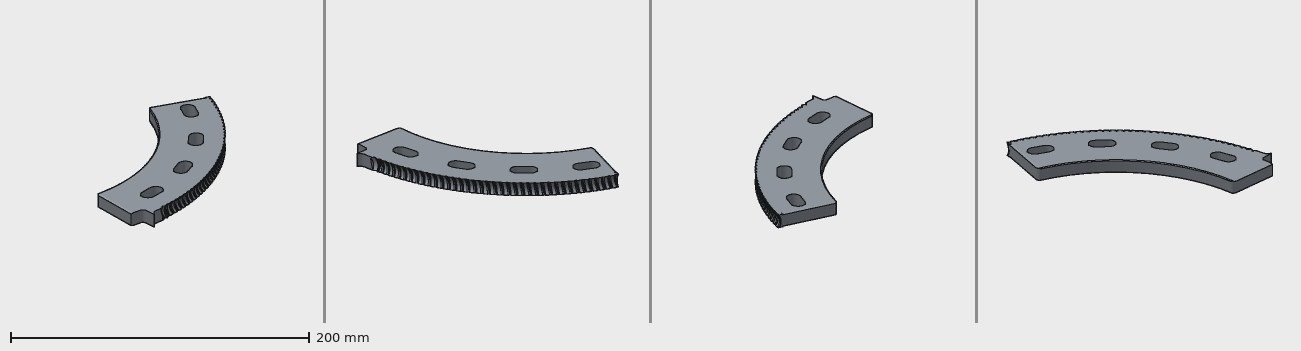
import cadquery as cq
import math

thickness = 9.5
inner_radius = 112.4
sector_angle = 72.2
corner_radius = 3.3
mid_height = thickness / 2

rim_radius = 157.7
lug_tip_radius = 160.7
lug_angle = 4.0
lug_tip_land_angle = 0.2
lug_flare_radius = 4.5
notch_x = 150.0
notch_corner_radius = 2.5

end_break_width = 1.6
end_break_height = 0.5
end_break_outer_radius = 153.4
inner_break_width = 0.7
inner_break_height = 0.6

slot_count = 4
slot_pitch_angle = 17.7
first_slot_angle = 12.9
slot_circle_radius = 137.4
slot_length = 18.5
slot_width = 10.0

tooth_edge_radius = 157.0
worm_radius = 6.3
tooth_pitch_angle = 1.7
tooth_depth = 0.5
gap_flank_height = 1.5
gap_root_width = 0.6
gap_flank_angle = 60.0
worm_lead_angle = 13.6
toothed_start_angle = 9.8
first_gap_angle = 8.9
worm_axis_radius = tooth_edge_radius + math.sqrt(worm_radius**2 - mid_height**2)

overrun = 3.0
overrun_angle = 2.0


def polar(radius, angle):
    """Point at a radius and an angle in degrees about the sector centre."""
    turn = math.radians(angle)
    return (radius * math.cos(turn), radius * math.sin(turn))


def mirror_to_bottom(cutter):
    """Copy of a cutter reflected in the middle plane of the plate."""
    return cutter.mirror("XY", (0, 0, mid_height))


def round_corner(plate, corner, radius):
    """Fillet the upright edge at a corner."""
    return plate.edges("|Z").edges(cq.selectors.NearestToPointSelector(corner)).fillet(radius)


def make_plate():
    """Sector with a plain rim, a hooked stop lug and a notch below the lug."""
    flare_end_angle = lug_angle + lug_tip_land_angle
    flare_end = polar(lug_tip_radius, flare_end_angle)
    flare_centre_radius = rim_radius + lug_flare_radius
    flare_span = math.acos(
        (flare_centre_radius**2 + lug_tip_radius**2 - lug_flare_radius**2)
        / (2 * flare_centre_radius * lug_tip_radius)
    )
    flare_start_angle = flare_end_angle + math.degrees(flare_span)
    flare_centre = polar(flare_centre_radius, flare_start_angle)
    flare_start = polar(rim_radius, flare_start_angle)
    end_direction = math.degrees(math.atan2(flare_end[1] - flare_centre[1], flare_end[0] - flare_centre[0]))
    middle_direction = (flare_start_angle + 180 + end_direction % 360) / 2
    flare_offset = polar(lug_flare_radius, middle_direction)
    flare_middle = (flare_centre[0] + flare_offset[0], flare_centre[1] + flare_offset[1])

    notch_top = notch_x * math.tan(math.radians(lug_angle))
    plate = (
        cq.Workplane("XY")
        .moveTo(inner_radius, 0)
        .lineTo(notch_x, 0)
        .lineTo(notch_x, notch_top)
        .lineTo(*polar(lug_tip_radius, lug_angle))
        .lineTo(*flare_end)
        .threePointArc(flare_middle, flare_start)
        .threePointArc(polar(rim_radius, sector_angle / 2), polar(rim_radius, sector_angle))
        .lineTo(*polar(inner_radius, sector_angle))
        .threePointArc(polar(inner_radius, sector_angle / 2), (inner_radius, 0))
        .close()
        .extrude(thickness)
    )
    for angle in (0, sector_angle):
        corner = polar(inner_radius, angle) + (mid_height,)
        plate = round_corner(plate, corner, corner_radius)
    notch_corner = (notch_x, notch_top, mid_height)
    return round_corner(plate, notch_corner, notch_corner_radius)


def make_end_breaks():
    """Wedges that bevel both faces along the first end face, stopping short of the teeth."""
    top_wedge = (
        cq.Workplane("YZ")
        .polyline([(0, thickness - end_break_height), (end_break_width, thickness), (0, thickness)])
        .close()
        .extrude(end_break_outer_radius)
    )
    return top_wedge.union(mirror_to_bottom(top_wedge))


def make_inner_break():
    """Rings that bevel both faces along the inner arc."""
    top_ring = (
        cq.Workplane("XZ")
        .polyline(
            [
                (inner_radius, thickness - inner_break_height),
                (inner_radius + inner_break_width, thickness),
                (inner_radius, thickness),
            ]
        )
        .close()
        .revolve(360, (0, 0), (0, 1))
    )
    return top_ring.union(mirror_to_bottom(top_ring))


def make_slots():
    """Slots lying along the slot circle."""
    slot = (
        cq.Workplane("XY")
        .center(slot_circle_radius, 0)
        .slot2D(slot_length, slot_width, 90)
        .extrude(thickness)
    )
    slots = cq.Workplane("XY")
    for index in range(slot_count):
        slots = slots.add(slot.rotate((0, 0, 0), (0, 0, 1), first_slot_angle + index * slot_pitch_angle))
    return slots.combine()


def make_throat():
    """Ring segment with a round inner side that hollows the toothed rim."""
    outside = lug_tip_radius + overrun
    return (
        cq.Workplane("XZ")
        .moveTo(tooth_edge_radius, 0)
        .threePointArc((worm_axis_radius - worm_radius, mid_height), (tooth_edge_radius, thickness))
        .lineTo(outside, thickness)
        .lineTo(outside, 0)
        .close()
        .revolve(sector_angle + overrun_angle - toothed_start_angle, (0, 0), (0, 1))
        .rotate((0, 0, 0), (0, 0, 1), toothed_start_angle)
    )


def make_gaps():
    """One disc per tooth gap, centred on the worm axis and tilted by its lead."""
    root_half = gap_root_width / 2
    cutter_radius = worm_radius + tooth_depth
    base_radius = cutter_radius - gap_flank_height
    widening = gap_flank_height * math.tan(math.radians(gap_flank_angle))
    disc = (
        cq.Workplane("XY")
        .polyline(
            [
                (0, -root_half - widening),
                (base_radius, -root_half - widening),
                (cutter_radius, -root_half),
                (cutter_radius, root_half),
                (base_radius, root_half + widening),
                (0, root_half + widening),
            ]
        )
        .close()
        .revolve(360, (0, 0), (0, 1))
        .rotate((0, 0, 0), (1, 0, 0), worm_lead_angle)
        .translate((worm_axis_radius, 0, mid_height))
    )
    gap_count = math.ceil((sector_angle - first_gap_angle) / tooth_pitch_angle)
    return [
        disc.rotate((0, 0, 0), (0, 0, 1), first_gap_angle + index * tooth_pitch_angle).val()
        for index in range(gap_count)
    ]


first_end_breaks = make_end_breaks()
second_end_breaks = first_end_breaks.mirror("XZ").rotate((0, 0, 0), (0, 0, 1), sector_angle)

body = (
    make_plate()
    .cut(first_end_breaks)
    .cut(second_end_breaks)
    .cut(make_inner_break())
    .cut(make_slots())
    .cut(make_throat())
)
result = cq.Workplane("XY").newObject([body.val().cut(*make_gaps())])